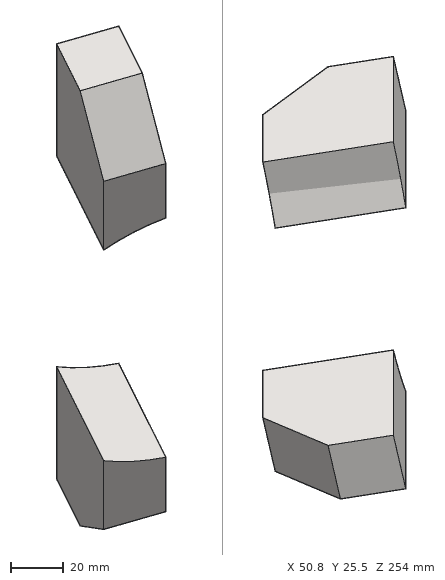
import cadquery as cq

total_height = 254.0
width = 50.8
depth = 25.5

chamfer = 25.5

seat_radius = 70.4
seat_axis_y = 21.5


def make_shoe(side):
    """Build one shoe; side is +1 above the seat axis and -1 below it."""
    outer_z = side * total_height / 2
    profile = [
        (-width / 2, 0),
        (width / 2, 0),
        (width / 2, outer_z - side * chamfer),
        (width / 2 - chamfer, outer_z),
        (-width / 2, outer_z),
    ]
    block = cq.Workplane("XZ").polyline(profile).close().extrude(depth / 2, both=True)
    seat = (
        cq.Workplane("YZ")
        .center(seat_axis_y, 0)
        .circle(seat_radius)
        .extrude(width, both=True)
    )
    return block.cut(seat)


shoes = [make_shoe(side) for side in (1, -1)]

result = cq.Compound.makeCompound([shoe.val() for shoe in shoes])